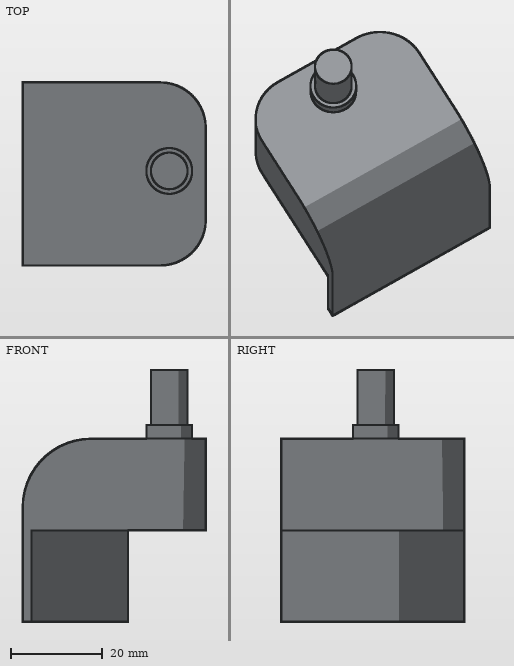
import cadquery as cq
import math

width = 40.0
depth = 40.0
body_height = 40.0
head_thickness = 20.0
plate_thickness = 2.0
top_round_radius = 15.0
corner_radius = 10.0

stem_reach = 23.0
nose_radius = 11.0

pin_x = 32.0
pin_y = 20.65
collar_diameter = 10.0
collar_height = 3.0
pin_diameter = 8.0
pin_height = 12.0

mid_y = width / 2
head_bottom = body_height - head_thickness


def make_body():
    """L-shaped head and back plate, rounded over the plate-side top edge and the two far corners (+X)."""
    profile = (
        cq.Workplane("XZ")
        .lineTo(plate_thickness, 0)
        .lineTo(plate_thickness, head_bottom)
        .lineTo(depth, head_bottom)
        .lineTo(depth, body_height)
        .lineTo(top_round_radius, body_height)
        .radiusArc((0, body_height - top_round_radius), -top_round_radius)
        .close()
    )
    body = profile.extrude(-width)
    return body.faces(">X").edges("|Z").fillet(corner_radius)


def make_stem():
    """Stem whose flanks run from the plate edges tangent to the round nose."""
    nose_x = stem_reach - nose_radius
    run = nose_x - plate_thickness
    corner_to_center = math.hypot(run, mid_y)
    flank_angle = math.atan2(mid_y, run) - math.asin(nose_radius / corner_to_center)
    tangent_x = nose_x + nose_radius * math.sin(flank_angle)
    tangent_offset = nose_radius * math.cos(flank_angle)
    return (
        cq.Workplane("XY")
        .moveTo(plate_thickness, 0)
        .lineTo(tangent_x, mid_y - tangent_offset)
        .threePointArc((stem_reach, mid_y), (tangent_x, mid_y + tangent_offset))
        .lineTo(plate_thickness, width)
        .close()
        .extrude(head_bottom)
    )


def make_pin():
    """Collar and pin shaft, stacked on the head."""
    return (
        cq.Workplane("XY", origin=(pin_x, pin_y, body_height))
        .circle(collar_diameter / 2)
        .extrude(collar_height)
        .faces(">Z")
        .workplane()
        .circle(pin_diameter / 2)
        .extrude(pin_height)
    )


result = make_body().union(make_stem()).union(make_pin())